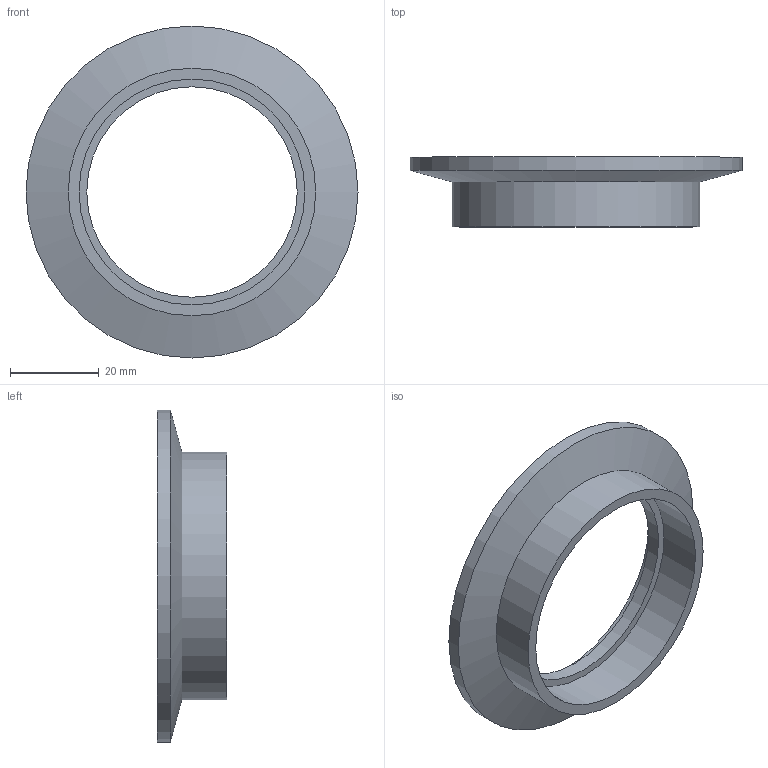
import cadquery as cq

rim_diameter = 74.93
tube_outer_diameter = 55.88
socket_diameter = 51.0
bore_diameter = 47.5
seal_recess_diameter = 52.4
overall_length = 15.75
rim_thickness = 3.0
cone_length = 2.6
socket_depth = 10.03
seal_recess_depth = 2.54

rim_radius = rim_diameter / 2
tube_outer_radius = tube_outer_diameter / 2
socket_radius = socket_diameter / 2
bore_radius = bore_diameter / 2
seal_recess_radius = seal_recess_diameter / 2

sealing_face_y = 0
recess_floor_y = sealing_face_y - seal_recess_depth
rim_back_y = sealing_face_y - rim_thickness
cone_end_y = rim_back_y - cone_length
tube_end_y = sealing_face_y - overall_length
socket_floor_y = tube_end_y + socket_depth


def flange_body():
    """Rim, clamping cone and tube stub, hollowed by the seal recess, bore and tube socket."""
    half_section = [
        (sealing_face_y, seal_recess_radius),
        (sealing_face_y, rim_radius),
        (rim_back_y, rim_radius),
        (cone_end_y, tube_outer_radius),
        (tube_end_y, tube_outer_radius),
        (tube_end_y, socket_radius),
        (socket_floor_y, socket_radius),
        (socket_floor_y, bore_radius),
        (recess_floor_y, bore_radius),
        (recess_floor_y, seal_recess_radius),
    ]
    axis_start = (0, 0, 0)
    axis_end = (1, 0, 0)
    return cq.Workplane("YZ").polyline(half_section).close().revolve(360, axis_start, axis_end)


result = flange_body()